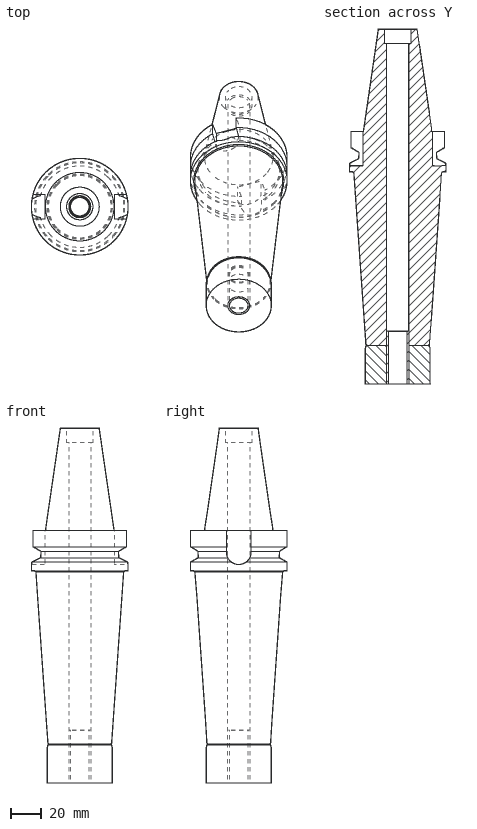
import cadquery as cq

TOTAL_HEIGHT = 230.5
TAPER_HEIGHT = 65.5
GAUGE_Z = TOTAL_HEIGHT - TAPER_HEIGHT
FLANGE_TOP_Z = 164.0
FLANGE_BOTTOM_Z = 137.8
BODY_BOTTOM_Z = 25.5
NUT_TOP_Z = 24.9

TAPER_TOP_RADIUS = 12.7
GAUGE_RADIUS = 44.5 / 2
FLANGE_RADIUS = 63.0 / 2
BODY_TOP_RADIUS = 28.5
BODY_FLARE = 0.7
BODY_BOTTOM_RADIUS = 20.7
NECK_RADIUS = 20.3

GROOVE_RADIUS = 26.5
GROOVE_TOP_Z = 153.5
GROOVE_FLOOR_TOP_Z = 150.5
GROOVE_FLOOR_BOTTOM_Z = 146.3
GROOVE_BOTTOM_Z = 143.5

NOTCH_WIDTH = 16.1
NOTCH_FLOOR_X = 22.5
NOTCH_BOTTOM_Z = 142.0

PILOT_RADIUS = 8.5
PILOT_DEPTH = 9.2
BORE_RADIUS = 7.1

NUT_RADIUS = 21.2
NUT_CHAMFER_WIDTH = 0.5
NUT_CHAMFER_HEIGHT = 2.0

COLLET_LENGTH = 34.5
COLLET_BORE_RADIUS = 6.0
COLLET_CHAMFER = 0.5


def revolve_profile(points):
    """Revolve a closed (radius, height) outline about the Z axis."""
    return cq.Workplane("XZ").polyline(points).close().revolve(360, (0, 0, 0), (0, 1, 0))


def make_notch(side):
    """Cutter for one drive notch; side is +1 or -1 along X."""
    radius = NOTCH_WIDTH / 2
    round_center_z = NOTCH_BOTTOM_Z + radius
    return (
        cq.Workplane("YZ", origin=(side * NOTCH_FLOOR_X, 0, 0))
        .moveTo(-radius, GAUGE_Z)
        .lineTo(-radius, round_center_z)
        .threePointArc((0, NOTCH_BOTTOM_Z), (radius, round_center_z))
        .lineTo(radius, GAUGE_Z)
        .close()
        .extrude(side * (FLANGE_RADIUS - NOTCH_FLOOR_X))
    )


def make_holder():
    """Taper shank, flange, conical body and stepped bore."""
    pilot_floor_z = TOTAL_HEIGHT - PILOT_DEPTH
    holder = revolve_profile([
        (PILOT_RADIUS, TOTAL_HEIGHT),
        (TAPER_TOP_RADIUS, TOTAL_HEIGHT),
        (GAUGE_RADIUS, GAUGE_Z),
        (GAUGE_RADIUS, FLANGE_TOP_Z),
        (FLANGE_RADIUS, FLANGE_TOP_Z),
        (FLANGE_RADIUS, GROOVE_TOP_Z),
        (GROOVE_RADIUS, GROOVE_FLOOR_TOP_Z),
        (GROOVE_RADIUS, GROOVE_FLOOR_BOTTOM_Z),
        (FLANGE_RADIUS, GROOVE_BOTTOM_Z),
        (FLANGE_RADIUS, FLANGE_BOTTOM_Z),
        (BODY_TOP_RADIUS + BODY_FLARE, FLANGE_BOTTOM_Z),
        (BODY_TOP_RADIUS, FLANGE_BOTTOM_Z - BODY_FLARE),
        (BODY_BOTTOM_RADIUS, BODY_BOTTOM_Z),
        (NECK_RADIUS, BODY_BOTTOM_Z),
        (NECK_RADIUS, NUT_TOP_Z),
        (BORE_RADIUS, NUT_TOP_Z),
        (BORE_RADIUS, pilot_floor_z),
        (PILOT_RADIUS, pilot_floor_z),
    ])
    for side in (-1, 1):
        holder = holder.cut(make_notch(side))
    return holder


def make_nut():
    """Ring under the holder with a slender chamfer on its upper rim."""
    return revolve_profile([
        (BORE_RADIUS, 0),
        (NUT_RADIUS, 0),
        (NUT_RADIUS, NUT_TOP_Z - NUT_CHAMFER_HEIGHT),
        (NUT_RADIUS - NUT_CHAMFER_WIDTH, NUT_TOP_Z),
        (BORE_RADIUS, NUT_TOP_Z),
    ])


def make_collet():
    """Straight sleeve with a chamfered upper mouth."""
    return revolve_profile([
        (COLLET_BORE_RADIUS, 0),
        (BORE_RADIUS, 0),
        (BORE_RADIUS, COLLET_LENGTH),
        (COLLET_BORE_RADIUS + COLLET_CHAMFER, COLLET_LENGTH),
        (COLLET_BORE_RADIUS, COLLET_LENGTH - COLLET_CHAMFER),
    ])


holder = make_holder()
nut = make_nut()
collet = make_collet()

result = cq.Compound.makeCompound([holder.val(), nut.val(), collet.val()])